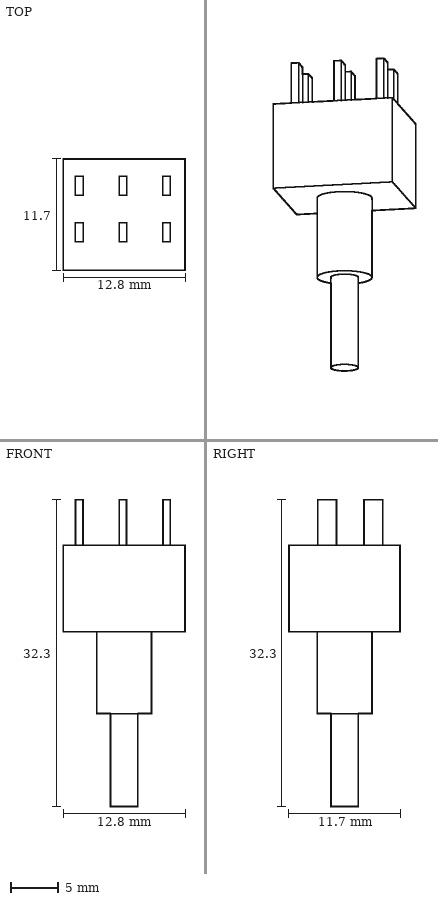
import cadquery as cq


BODY_LENGTH = 12.85
BODY_WIDTH = 11.72
BODY_HEIGHT = 9.15

BUSHING_DIAMETER = 5.8
BUSHING_LENGTH = 8.6
LEVER_DIAMETER = 2.9
LEVER_LENGTH = 9.8

TERMINAL_THICKNESS = 0.8
TERMINAL_WIDTH = 2.0
TERMINAL_HEIGHT = 4.8
TERMINAL_COLUMNS = 3
TERMINAL_ROWS = 2
COLUMN_PITCH = 4.6
ROW_PITCH = 4.88
GRID_CENTER_X = -0.12
GRID_CENTER_Y = 0.6


def make_body():
    """Rectangular housing standing on Z = 0."""
    return cq.Workplane("XY").rect(BODY_LENGTH, BODY_WIDTH).extrude(BODY_HEIGHT)


def add_stem(part):
    """Add the bushing under the body, then the lever under the bushing."""
    bushing = cq.Workplane("XY").circle(BUSHING_DIAMETER / 2).extrude(-BUSHING_LENGTH)
    lever = (
        cq.Workplane("XY", origin=(0, 0, -BUSHING_LENGTH))
        .circle(LEVER_DIAMETER / 2)
        .extrude(-LEVER_LENGTH)
    )
    return part.union(bushing).union(lever)


def add_terminals(part):
    """Add the grid of flat terminals on the top face of the body."""
    terminals = (
        cq.Workplane("XY", origin=(GRID_CENTER_X, GRID_CENTER_Y, BODY_HEIGHT))
        .rarray(COLUMN_PITCH, ROW_PITCH, TERMINAL_COLUMNS, TERMINAL_ROWS)
        .rect(TERMINAL_THICKNESS, TERMINAL_WIDTH)
        .extrude(TERMINAL_HEIGHT)
    )
    return part.union(terminals)


result = add_terminals(add_stem(make_body()))